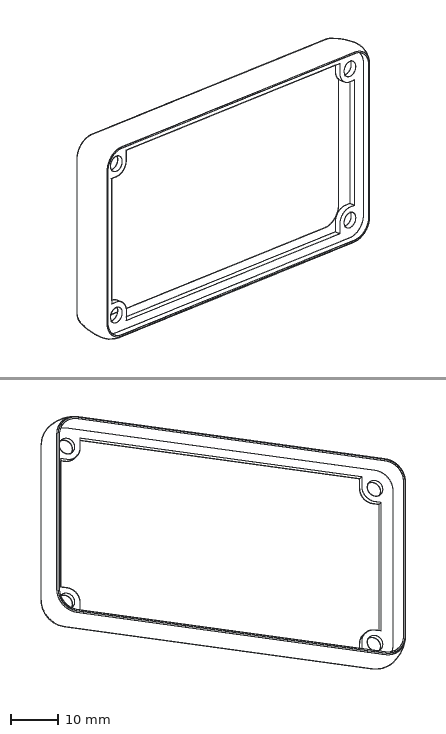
import cadquery as cq

depth = 9.0
length = 81.1
height = 46.2

crest_x = 6.1
corner_radius = 5.6
rim_drop = 1.0
rim_chamfer = 0.25
cavity_inset = 1.55

plate_front_x = 6.1
plate_thickness = 1.4
window_inset_y = 4.2
window_inset_z = 3.4
boss_radius = 3.0
hole_diameter = 3.5

corner_y = length / 2 - corner_radius
corner_z = height / 2 - corner_radius
window_y = length / 2 - window_inset_y
window_z = height / 2 - window_inset_z
corner_signs = [(sy, sz) for sy in (-1, 1) for sz in (-1, 1)]


def arc_drop_middle(run, drop):
    """Drop halfway along an arc that starts level and falls by `drop` over `run`."""
    radius = (run**2 + drop**2) / (2 * drop)
    return radius - (radius**2 - (run / 2) ** 2) ** 0.5


def wall_profile(crest):
    """Half section in XY, from the X axis out to the bulged wall, with its crest at y = crest."""
    rim = crest - rim_drop
    front_x = rim_chamfer
    back_x = depth - rim_chamfer
    front_run = crest_x - front_x
    back_run = back_x - crest_x
    front_middle = (crest_x - front_run / 2, crest - arc_drop_middle(front_run, rim_drop))
    back_middle = (crest_x + back_run / 2, crest - arc_drop_middle(back_run, rim_drop))
    return (
        cq.Workplane("XY")
        .moveTo(0, 0)
        .lineTo(0, rim - rim_chamfer)
        .lineTo(front_x, rim)
        .threePointArc(front_middle, (crest_x, crest))
        .threePointArc(back_middle, (back_x, rim))
        .lineTo(depth, rim - rim_chamfer)
        .lineTo(depth, 0)
        .close()
    )


def straight_body(crest, run):
    """Bulged bar reaching y = +-crest, extending `run` along Z."""
    half = wall_profile(crest).extrude(run / 2, both=True)
    return half.union(half.mirror("XZ"))


def outer_body():
    long_faces = straight_body(height / 2, 2 * corner_y).rotate((0, 0, 0), (1, 0, 0), 90)
    body = straight_body(length / 2, 2 * corner_z).union(long_faces)
    corner = wall_profile(corner_radius).revolve(360, (0, 0, 0), (1, 0, 0))
    for sy, sz in corner_signs:
        body = body.union(corner.translate((0, sy * corner_y, sz * corner_z)))
    return body


def cavity():
    """Rounded opening through the full depth, concentric with the outer corners."""
    return (
        cq.Workplane("YZ")
        .rect(length - 2 * cavity_inset, height - 2 * cavity_inset)
        .extrude(depth)
        .edges("|X")
        .fillet(corner_radius - cavity_inset)
    )


def boss(sy, sz):
    """Round screw boss, squared off towards the two window edges at its corner."""
    plane = cq.Workplane("YZ", origin=(plate_front_x, sy * corner_y, sz * corner_z))
    pad = plane.circle(boss_radius).extrude(plate_thickness)
    side_center = (sy * boss_radius / 2, 0)
    top_center = (0, sz * boss_radius / 2)
    to_side = plane.pushPoints([side_center]).rect(boss_radius, 2 * boss_radius).extrude(plate_thickness)
    to_top = plane.pushPoints([top_center]).rect(2 * boss_radius, boss_radius).extrude(plate_thickness)
    return pad.union(to_side).union(to_top)


def inner_plate(opening):
    plane = cq.Workplane("YZ", origin=(plate_front_x, 0, 0))
    plate = plane.rect(length, height).extrude(plate_thickness).intersect(opening)
    plate = plate.cut(plane.rect(2 * window_y, 2 * window_z).extrude(plate_thickness))
    for sy, sz in corner_signs:
        plate = plate.union(boss(sy, sz).intersect(opening))
    hole_centers = [(sy * corner_y, sz * corner_z) for sy, sz in corner_signs]
    holes = plane.pushPoints(hole_centers).circle(hole_diameter / 2).extrude(plate_thickness)
    return plate.cut(holes)


opening = cavity()
frame = outer_body().cut(opening).union(inner_plate(opening))
result = frame.translate((-depth / 2, 0, 0))